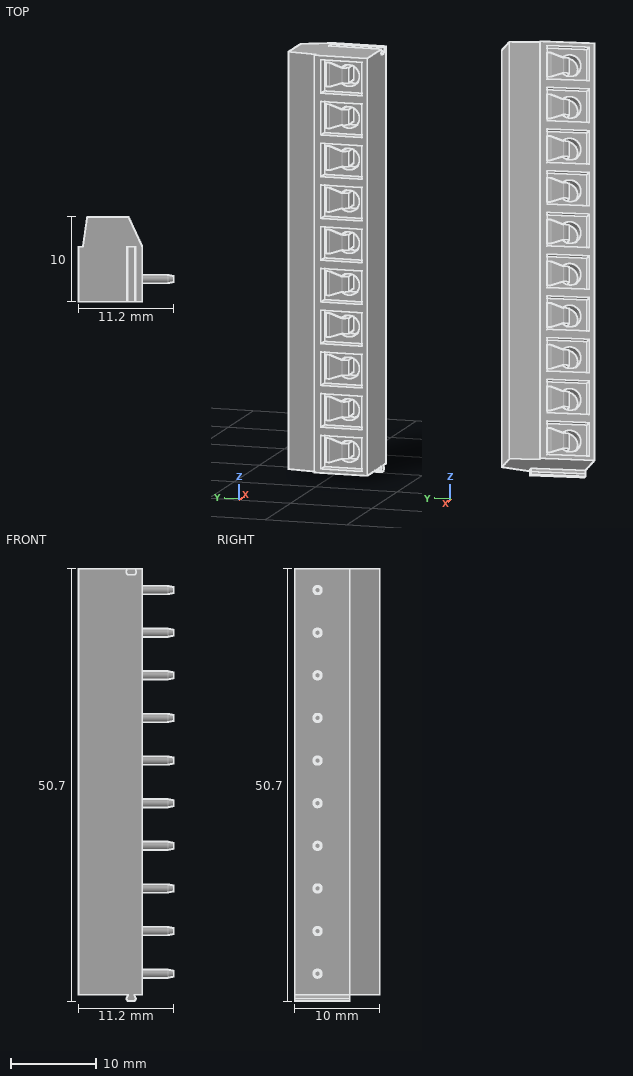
import cadquery as cq
import math

way_count = 10
body_height = 49.95
pitch = body_height / way_count

body_depth = 7.5
body_width = 10.0
shoulder_y = 6.5
shoulder_step = 0.5
crown_start_x = 1.0
crown_end_x = 5.9

rib_length = shoulder_y
rib_center_x = 6.2
overall_height = 50.7
rib_height = overall_height - body_height
rib_widest_at = 0.45
rib_widths = (0.75, 1.15, 0.8)
groove_widths = (1.0, 1.2, 0.85)

pocket_depth = 1.4
pocket_y_min = 0.65
pocket_y_max = 5.7
pocket_height = 4.0
pocket_width = pocket_y_max - pocket_y_min

axis_y = 2.7
pin_diameter = 1.0
pin_length = 3.7
pin_tip_length = 0.75
pin_tip_diameter = 0.7
hole_diameter = 2.6
hole_depth = 2.05
hole_bottom_x = pocket_depth + hole_depth

leaf_rise = 0.2
leaf_wide_y = 5.0
leaf_narrow_y = 3.5
leaf_wide_height = 2.9
leaf_narrow_height = 1.8
leaf_outer_radius = 0.6
leaf_inner_radius = 1.0
leaf_inner_y = 2.75


def make_body():
    outline = [
        (0, 0),
        (body_depth, 0),
        (body_depth, shoulder_y),
        (crown_end_x, body_width),
        (crown_start_x, body_width),
        (shoulder_step, shoulder_y),
        (0, shoulder_y),
    ]
    return cq.Workplane("XY").polyline(outline).close().extrude(body_height)


def make_rail(root_z, widths):
    """Hexagonal bar hanging down from root_z, starting at Y = 0: the rib itself or the groove's void."""
    levels = (root_z, root_z - rib_widest_at, root_z - rib_height)
    half_widths = [(width / 2, z) for width, z in zip(widths, levels)]
    right_side = [(rib_center_x + half, z) for half, z in half_widths]
    left_side = [(rib_center_x - half, z) for half, z in reversed(half_widths)]
    return cq.Workplane("XZ").polyline(right_side + left_side).close().extrude(-rib_length)


def make_pin(z):
    tip_start = pin_length - pin_tip_length
    half_section = [
        (body_depth, axis_y),
        (body_depth + pin_length, axis_y),
        (body_depth + pin_length, axis_y + pin_tip_diameter / 2),
        (body_depth + tip_start, axis_y + pin_diameter / 2),
        (body_depth, axis_y + pin_diameter / 2),
    ]
    pin = cq.Workplane("XY").polyline(half_section).close()
    return pin.revolve(360, (0, axis_y), (1, axis_y)).translate((0, 0, z))


def make_wire_entry(z):
    """Rectangular pocket with a round wire hole in its floor."""
    pocket = cq.Workplane("XY").box(pocket_depth, pocket_width, pocket_height, centered=(False, False, True))
    pocket = pocket.translate((0, pocket_y_min, z))
    hole = cq.Workplane("YZ").center(axis_y, z).circle(hole_diameter / 2).extrude(hole_bottom_x)
    return pocket.union(hole)


def make_leaf(z):
    """Leaf whose rounded side profile is trimmed to a tapering plan shape."""
    face_x = pocket_depth - leaf_rise
    outer_drop = leaf_outer_radius - leaf_rise
    outer_y = leaf_wide_y + math.sqrt(leaf_outer_radius**2 - outer_drop**2)
    inner_run = leaf_narrow_y - leaf_inner_y
    inner_drop = leaf_inner_radius - math.sqrt(leaf_inner_radius**2 - inner_run**2)
    profile = (
        cq.Workplane("XY")
        .moveTo(hole_bottom_x, leaf_inner_y)
        .lineTo(face_x + inner_drop, leaf_inner_y)
        .radiusArc((face_x, leaf_narrow_y), leaf_inner_radius)
        .lineTo(face_x, leaf_wide_y)
        .radiusArc((pocket_depth, outer_y), leaf_outer_radius)
        .lineTo(hole_bottom_x, outer_y)
        .close()
        .extrude(leaf_wide_height / 2, both=True)
    )
    upper_edge = [
        (leaf_inner_y, leaf_narrow_height / 2),
        (leaf_narrow_y, leaf_narrow_height / 2),
        (leaf_wide_y, leaf_wide_height / 2),
        (outer_y, leaf_wide_height / 2),
    ]
    lower_edge = [(y, -half) for y, half in reversed(upper_edge)]
    plan = cq.Workplane("YZ").polyline(upper_edge + lower_edge).close().extrude(hole_bottom_x)
    return profile.intersect(plan).translate((0, 0, z))


result = make_body().cut(make_rail(body_height, groove_widths)).union(make_rail(0, rib_widths))
for way in range(way_count):
    way_z = (way + 0.5) * pitch
    result = result.cut(make_wire_entry(way_z)).union(make_leaf(way_z)).union(make_pin(way_z))